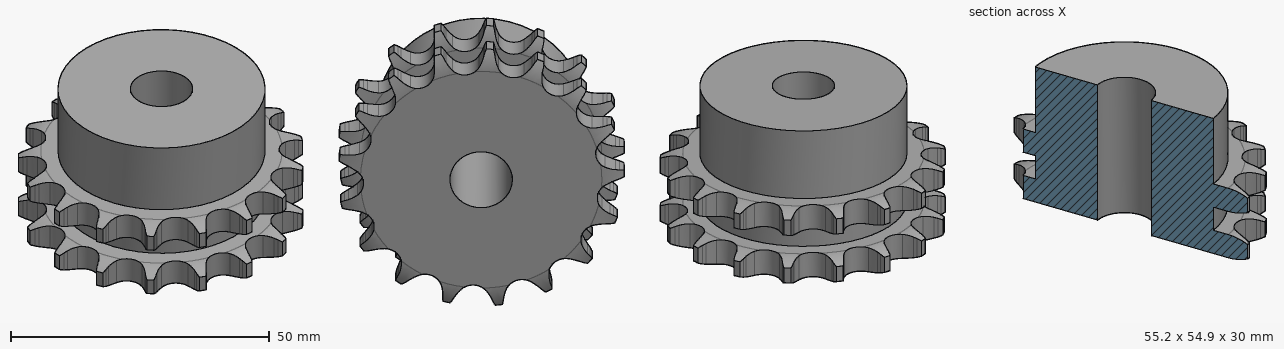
import cadquery as cq
import math

TOOTH_COUNT = 17
CHAIN_PITCH = 9.55
SEAT_RADIUS = 3.25
SEAT_HALF_ANGLE = 51.5
WORKING_RADIUS = 8.35
WORKING_ANGLE = 14.7
STRAIGHT_LENGTH = 0.75
TOPPING_RADIUS = 5.25
TIP_RADIUS = 27.65

RIM_THICKNESS = 5.25
RIM_SPACING = 10.25
SIDE_RADIUS = 10.0
SIDE_RELIEF = 1.0

HUB_DIAMETER = 40.0
BORE_DIAMETER = 12.0
TOTAL_HEIGHT = 30.0

TOOTH_ANGLE = 2 * math.pi / TOOTH_COUNT
PITCH_RADIUS = CHAIN_PITCH / (2 * math.sin(TOOTH_ANGLE / 2))
FIRST_GAP_ANGLE = math.pi / 2


def polar(radius, angle):
    return (radius * math.cos(angle), radius * math.sin(angle))


def offset(point, radius, angle):
    dx, dy = polar(radius, angle)
    return (point[0] + dx, point[1] + dy)


def gap_side_points():
    """Corners and arc middles of one side of a gap centred on +X, from the seat end out to the tooth tip."""
    seat_direction = math.pi - math.radians(SEAT_HALF_ANGLE)
    working_direction = seat_direction - math.radians(WORKING_ANGLE)

    seat_center = (PITCH_RADIUS, 0)
    seat_end = offset(seat_center, SEAT_RADIUS, seat_direction)
    working_center = offset(seat_end, -WORKING_RADIUS, seat_direction)
    working_middle = offset(working_center, WORKING_RADIUS, (seat_direction + working_direction) / 2)
    working_end = offset(working_center, WORKING_RADIUS, working_direction)
    straight_end = offset(working_end, STRAIGHT_LENGTH, working_direction - math.pi / 2)
    topping_center = offset(straight_end, TOPPING_RADIUS, working_direction)

    center_distance = math.hypot(*topping_center)
    cosine = (TIP_RADIUS**2 + center_distance**2 - TOPPING_RADIUS**2) / (2 * TIP_RADIUS * center_distance)
    tip_angle = math.atan2(topping_center[1], topping_center[0]) - math.acos(cosine)
    tip_corner = polar(TIP_RADIUS, tip_angle)

    start_direction = working_direction - math.pi
    end_direction = math.atan2(tip_corner[1] - topping_center[1], tip_corner[0] - topping_center[0])
    topping_middle = offset(topping_center, TOPPING_RADIUS, (start_direction + end_direction) / 2)
    return seat_end, working_middle, working_end, straight_end, topping_middle, tip_corner


def place(point, gap_angle, side):
    """Turn a point to the gap at gap_angle; side -1 mirrors it across the gap centre line."""
    x, y = point
    return polar(math.hypot(x, y), gap_angle + side * math.atan2(y, x))


def tooth_prism():
    """Full-thickness prism with the toothed outline."""
    side_points = gap_side_points()
    tip_corner = side_points[-1]
    root_radius = PITCH_RADIUS - SEAT_RADIUS

    outline = cq.Workplane("XY").moveTo(*place(tip_corner, FIRST_GAP_ANGLE, -1))
    for index in range(TOOTH_COUNT):
        gap = FIRST_GAP_ANGLE + index * TOOTH_ANGLE
        next_gap = gap + TOOTH_ANGLE
        near = [place(point, gap, -1) for point in side_points]
        far = [place(point, gap, 1) for point in side_points]
        seat_end, working_middle, working_end, straight_end, topping_middle, _ = near
        outline = (
            outline
            .threePointArc(topping_middle, straight_end)
            .lineTo(*working_end)
            .threePointArc(working_middle, seat_end)
        )
        seat_end, working_middle, working_end, straight_end, topping_middle, tip = far
        outline = (
            outline
            .threePointArc(polar(root_radius, gap), seat_end)
            .threePointArc(working_middle, working_end)
            .lineTo(*straight_end)
            .threePointArc(topping_middle, tip)
            .threePointArc(polar(TIP_RADIUS, gap + TOOTH_ANGLE / 2), place(tip_corner, next_gap, -1))
        )
    return outline.close().extrude(RIM_THICKNESS)


def rounded_disc():
    """Disc whose two sides curve inward to a thinner outer edge."""
    rounding_width = math.sqrt(SIDE_RADIUS**2 - (SIDE_RADIUS - SIDE_RELIEF)**2)
    flat_radius = TIP_RADIUS - rounding_width
    middle_radius = flat_radius + rounding_width / 2
    middle_relief = SIDE_RADIUS - math.sqrt(SIDE_RADIUS**2 - (rounding_width / 2)**2)
    section = (
        cq.Workplane("XZ")
        .lineTo(flat_radius, 0)
        .threePointArc((middle_radius, middle_relief), (TIP_RADIUS, SIDE_RELIEF))
        .lineTo(TIP_RADIUS, RIM_THICKNESS - SIDE_RELIEF)
        .threePointArc((middle_radius, RIM_THICKNESS - middle_relief), (flat_radius, RIM_THICKNESS))
        .lineTo(0, RIM_THICKNESS)
        .close()
    )
    return section.revolve(360, (0, 0, 0), (0, 1, 0))


rim = tooth_prism().intersect(rounded_disc())
hub = cq.Workplane("XY").circle(HUB_DIAMETER / 2).extrude(TOTAL_HEIGHT)
bore = cq.Workplane("XY").circle(BORE_DIAMETER / 2).extrude(TOTAL_HEIGHT)

result = hub.union(rim).union(rim.translate((0, 0, RIM_SPACING))).cut(bore)